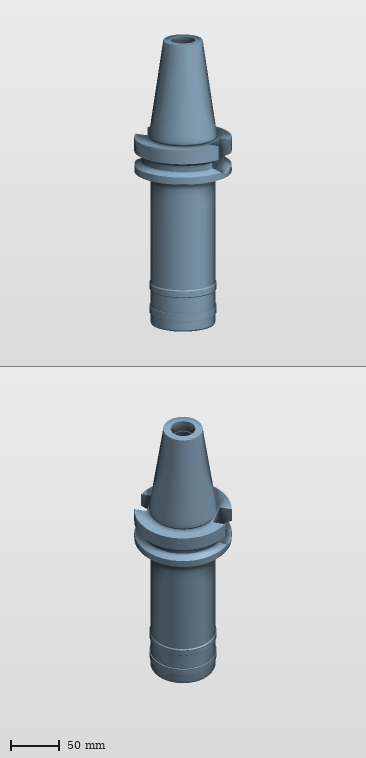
import cadquery as cq

total_height = 301.8
taper_height = 101.7
flange_top = total_height - 103.2
flange_bottom = 162.0
collar_bottom = 157.0

gauge_radius = 35.0
taper_slope = 7 / 48
taper_bottom = total_height - taper_height
taper_tip_radius = gauge_radius - taper_height * taper_slope
neck_radius = 34.5

flange_diameter = 100.0
flange_radius = flange_diameter / 2
groove_radius = 42.5
groove_top = 183.8
groove_floor_top = 180.0
groove_floor_bottom = 173.5
groove_bottom = 169.5

body_radius = 33.5
collar_radius = body_radius + flange_bottom - collar_bottom
bottom_chamfer_width = 1.0
bottom_chamfer_height = 1.5

ring_radius = 34.5
ring_chamfer = ring_radius - body_radius
upper_ring_bottom = 36.2
upper_ring_top = 44.5
lower_ring_bottom = 11.8
lower_ring_top = 19.0

slot_width = 26.3
slot_floor_x = 35.3
slot_bottom = 166.0

mouth_radius = 12.7
mouth_depth = 12.0
thread_radius = 11.0
thread_depth = 45.3
through_diameter = 12.5
through_radius = through_diameter / 2


def turned_holder():
    """Revolve the half section of the holder about Z."""
    outline = [
        (0, 0),
        (body_radius - bottom_chamfer_width, 0),
        (body_radius, bottom_chamfer_height),
        (body_radius, lower_ring_bottom),
        (ring_radius, lower_ring_bottom),
        (ring_radius, lower_ring_top),
        (body_radius, lower_ring_top),
        (body_radius, upper_ring_bottom),
        (ring_radius, upper_ring_bottom + ring_chamfer),
        (ring_radius, upper_ring_top - ring_chamfer),
        (body_radius, upper_ring_top),
        (body_radius, collar_bottom),
        (collar_radius, flange_bottom),
        (flange_radius, flange_bottom),
        (flange_radius, groove_bottom),
        (groove_radius, groove_floor_bottom),
        (groove_radius, groove_floor_top),
        (flange_radius, groove_top),
        (flange_radius, flange_top),
        (neck_radius, flange_top),
        (gauge_radius, taper_bottom),
        (taper_tip_radius, total_height),
        (0, total_height),
    ]
    return cq.Workplane("XZ").polyline(outline).close().revolve(360, (0, 0), (0, 1))


def drive_slot(side):
    """Round-bottomed slot cutter; side is -1 for -X and +1 for +X."""
    half_width = slot_width / 2
    arc_center_z = slot_bottom + half_width
    return (
        cq.Workplane("YZ", origin=(side * slot_floor_x, 0, 0))
        .moveTo(-half_width, flange_top)
        .lineTo(-half_width, arc_center_z)
        .threePointArc((0, slot_bottom), (half_width, arc_center_z))
        .lineTo(half_width, flange_top)
        .close()
        .extrude(side * (flange_radius - slot_floor_x))
    )


def bore(radius, depth):
    """Cylindrical cutter reaching down from the top face."""
    return cq.Workplane("XY", origin=(0, 0, total_height)).circle(radius).extrude(-depth)


result = turned_holder()
for slot_side in (-1, 1):
    result = result.cut(drive_slot(slot_side))

result = result.cut(bore(mouth_radius, mouth_depth))
result = result.cut(bore(thread_radius, thread_depth))
result = result.cut(bore(through_radius, total_height))